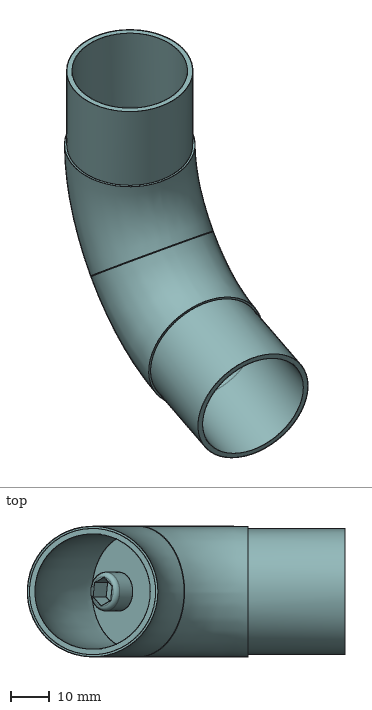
import cadquery as cq
import math

overall = 82.0
bend_diameter = 33.7
spigot_diameter = 32.55
bore_diameter = 29.8
spigot_length = 25.0
wall_half_thickness = 2.0
seam_width = 0.2
seam_depth = 0.5
head_diameter = 10.0
head_height = 6.0
head_fillet = 1.2
head_offset = 5.0
socket_across_flats = 6.5
socket_depth = 4.75
socket_turn = 8.0

bend_radius = overall - spigot_length - bend_diameter / 2
diagonal = math.sqrt(0.5)
mitre_x = bend_radius * (1 - diagonal)

mitre = cq.Plane(
    origin=(mitre_x, 0, mitre_x),
    xDir=(-1, 0, -1),
    normal=(-1, 0, 1),
)


def bend(diameter):
    """Solid quarter torus joining the two tube axes."""
    profile = cq.Workplane("XY", origin=(0, 0, bend_radius)).circle(diameter / 2)
    return profile.revolve(90, (bend_radius, 0, 0), (bend_radius, -1, 0))


def straight_ends(diameter):
    """Two solid cylinders from the ends of the bend to the open ends."""
    upright = cq.Workplane("XY", origin=(0, 0, bend_radius)).circle(diameter / 2).extrude(spigot_length)
    level = cq.Workplane("YZ", origin=(bend_radius, 0, 0)).circle(diameter / 2).extrude(spigot_length)
    return upright.union(level)


def partition_wall():
    """Flat wall across the bore, centred on the mitre plane."""
    disc_diameter = (bend_diameter + bore_diameter) / 2
    return cq.Workplane(mitre).circle(disc_diameter / 2).extrude(wall_half_thickness, both=True)


def seam_groove():
    """Thin ring groove around the bend at the mitre plane."""
    ring = cq.Workplane(mitre).circle(bend_diameter / 2 + seam_depth).circle(bend_diameter / 2 - seam_depth)
    return ring.extrude(seam_width / 2, both=True)


def screw_head():
    """Rounded cap screw head with a hexagon socket, standing on the wall."""
    seat = cq.Workplane(mitre).workplane(offset=wall_half_thickness).center(head_offset, 0)
    head = seat.circle(head_diameter / 2).extrude(head_height)
    top_face = cq.selectors.DirectionMinMaxSelector(mitre.zDir, True)
    head = head.faces(top_face).edges().fillet(head_fillet)
    socket_corners = socket_across_flats / math.cos(math.pi / 6)
    socket = (
        seat.workplane(offset=head_height - socket_depth)
        .transformed(rotate=(0, 0, 90 - socket_turn))
        .polygon(6, socket_corners)
        .extrude(socket_depth)
    )
    return head.cut(socket)


outside = bend(bend_diameter).union(straight_ends(spigot_diameter))
bore = bend(bore_diameter).union(straight_ends(bore_diameter))
result = outside.cut(seam_groove()).cut(bore).union(partition_wall()).union(screw_head())